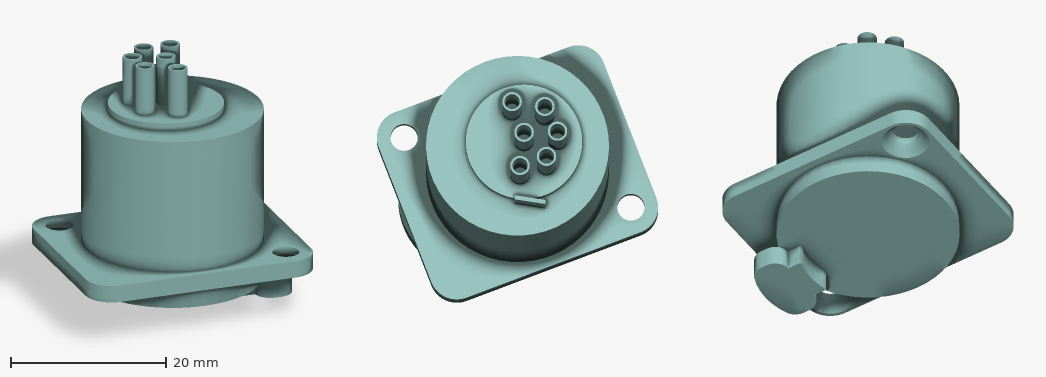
import cadquery as cq
import math

latch_top = 2.95
body_bottom = 3.07
flange_bottom = 5.75
flange_top = 8.0
body_top = 26.0
insert_top = 27.0
tab_top = 29.02
cup_top = 33.4

flange_width = 26.0
flange_length = 31.0
flange_corner_radius = 3.5
screw_hole_diameter = 3.5
countersink_diameter = 6.1
countersink_angle = 90.0
screw_hole_x = 9.5
screw_hole_y = 12.0

body_diameter = 23.55
insert_diameter = 15.0
insert_y = -0.9

cup_diameter = 2.5
cup_bore_diameter = 1.95
contact_offsets = [
    (0.0, 0.0),
    (4.3, 0.0),
    (2.2, -3.7),
    (-1.4, -4.07),
    (-3.97, -1.57),
    (-3.87, 2.05),
]

tab_length = 4.0
tab_thickness = 0.55
tab_angle = 60.0
tab_x = -7.7
tab_y = 1.25

latch_half_width = 5.0
latch_back_y = 15.73
latch_back_radius = 10.02
latch_corner_radius = 2.0
latch_front_y = 10.3
latch_stem_half_width = latch_half_width - latch_corner_radius
latch_stem_front_y = 8.45
latch_notch_half_width = 2.5


def cylinder(diameter, bottom, top, x=0.0, y=0.0):
    """Upright cylinder between two heights."""
    return cq.Workplane("XY", origin=(x, y, bottom)).circle(diameter / 2).extrude(top - bottom)


def make_flange():
    """Rounded plate with two screw holes in opposite corners, countersunk from below."""
    plate = (
        cq.Workplane("XY", origin=(0, 0, flange_bottom))
        .rect(flange_width, flange_length)
        .extrude(flange_top - flange_bottom)
        .edges("|Z")
        .fillet(flange_corner_radius)
    )
    hole_centres = [(screw_hole_x, screw_hole_y), (-screw_hole_x, -screw_hole_y)]
    underside_points = [(x, -y) for x, y in hole_centres]
    return (
        plate.faces("<Z")
        .workplane(origin=(0, 0, 0))
        .pushPoints(underside_points)
        .cskHole(screw_hole_diameter, countersink_diameter, countersink_angle)
    )


def make_solder_cup(x, y):
    """Open tube standing on the insert."""
    outside = cylinder(cup_diameter, insert_top, cup_top, x, y)
    bore = cylinder(cup_bore_diameter, insert_top, cup_top, x, y)
    return outside.cut(bore)


def make_ground_tab():
    """Thin upright plate turned about Z."""
    return (
        cq.Workplane("XY")
        .box(tab_length, tab_thickness, tab_top - body_top, centered=(True, True, False))
        .rotate((0, 0, 0), (0, 0, 1), tab_angle)
        .translate((tab_x, tab_y, body_top))
    )


def make_latch_button():
    """Pad with a curved back and four rounded corners."""
    back_centre_y = latch_back_y - latch_back_radius
    back_corner_y = back_centre_y + math.sqrt(latch_back_radius**2 - latch_half_width**2)
    return (
        cq.Workplane("XY")
        .moveTo(-latch_half_width, latch_front_y)
        .lineTo(-latch_half_width, back_corner_y)
        .threePointArc((0, latch_back_y), (latch_half_width, back_corner_y))
        .lineTo(latch_half_width, latch_front_y)
        .close()
        .extrude(latch_top)
        .edges("|Z")
        .fillet(latch_corner_radius)
    )


def make_latch_stem():
    """Block joining the button to the shell, its front hollowed to a circle about Z."""
    notch_radius = math.hypot(latch_notch_half_width, latch_stem_front_y)
    return (
        cq.Workplane("XY")
        .moveTo(-latch_stem_half_width, latch_front_y)
        .lineTo(-latch_stem_half_width, latch_stem_front_y)
        .lineTo(-latch_notch_half_width, latch_stem_front_y)
        .threePointArc((0, notch_radius), (latch_notch_half_width, latch_stem_front_y))
        .lineTo(latch_stem_half_width, latch_stem_front_y)
        .lineTo(latch_stem_half_width, latch_front_y)
        .close()
        .extrude(body_bottom)
    )


result = cylinder(body_diameter, body_bottom, body_top)
result = result.union(make_flange())
result = result.union(cylinder(insert_diameter, body_top, insert_top, y=insert_y))
for offset_x, offset_y in contact_offsets:
    result = result.union(make_solder_cup(offset_x, insert_y + offset_y))
result = result.union(make_ground_tab())
result = result.union(make_latch_button())
result = result.union(make_latch_stem())